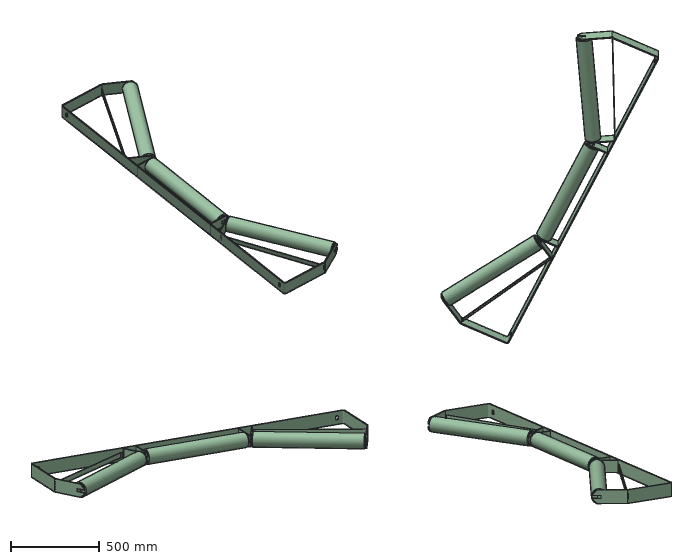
import cadquery as cq
import math


FRAME_LENGTH = 2000.0
STRIP_WIDTH = 80.0
PLATE = 7.0
HALF_LENGTH = FRAME_LENGTH / 2

ROLLER_DIAMETER = 90.0
ROLLER_LENGTH = 642.0
ROLLER_CHAMFER = 5.0
TILT = 30.0
MIDDLE_AXIS_Y = 100.0
OUTER_CENTRE_X = 635.0
OUTER_CENTRE_Y = 272.0

END_GAP = 2.0
AXLE_DEPTH = 20.0
AXLE_WIDTH = 15.0
SEAT_DISTANCE = ROLLER_LENGTH / 2 + END_GAP
AXLE_LENGTH = 2 * (SEAT_DISTANCE + PLATE)

COS_TILT = math.cos(math.radians(TILT))
SIN_TILT = math.sin(math.radians(TILT))
TAN_TILT = math.tan(math.radians(TILT))

ARM_TOP_Y = 468.0
CORNER_RADIUS = 15.0
TIP_CHAMFER = 22.0
MOUNT_HOLE_INSET = 48.0
MOUNT_HOLE_WIDTH = 15.0
MOUNT_HOLE_HEIGHT = 25.0
POST_INNER_X = HALF_LENGTH - PLATE

BRACKET_WIDTH = 72.0
BRACKET_TOP_Y = 130.0

STRUT_THICKNESS = 5.0
STRUT_WIDTH = 30.0
STRUT_FOOT_X = 420.0
STRUT_HEAD_Y = 295.0


def strip(points, width):
    """Extrude an XY outline to a strip centred on Z = 0."""
    return cq.Workplane("XY").workplane(offset=-width / 2).polyline(points).close().extrude(width)


def mirrored(body):
    return body.mirror("YZ")


def on_middle_axis(body):
    """Move a body from the X axis to the middle roller axis."""
    return body.translate((0, MIDDLE_AXIS_Y, 0))


def on_outer_axis(body):
    """Move a body from the X axis to the axis of the outer roller on the +X side."""
    return body.rotate((0, 0, 0), (0, 0, 1), TILT).translate((OUTER_CENTRE_X, OUTER_CENTRE_Y, 0))


def x_on_tilted_face(distance, y):
    """X at height y on the plane square to the outer axis, at a signed distance from the roller centre."""
    return OUTER_CENTRE_X + distance / COS_TILT - (y - OUTER_CENTRE_Y) * TAN_TILT


def make_axle():
    """Rectangular axle along the X axis."""
    return cq.Workplane("XY").box(AXLE_LENGTH, AXLE_DEPTH, AXLE_WIDTH)


def make_roller():
    """Chamfered roller along the X axis with its axle."""
    half, radius = ROLLER_LENGTH / 2, ROLLER_DIAMETER / 2
    profile = [
        (-half, 0),
        (-half, ROLLER_CHAMFER - radius),
        (ROLLER_CHAMFER - half, -radius),
        (half - ROLLER_CHAMFER, -radius),
        (half, ROLLER_CHAMFER - radius),
        (half, 0),
    ]
    drum = cq.Workplane("XY").polyline(profile).close().revolve(360, (0, 0, 0), (1, 0, 0))
    return drum.union(make_axle())


def axle_slots():
    """Cutter for the seats of an axle on the X axis, open towards +Y."""
    opening = cq.Workplane("XY").box(
        AXLE_LENGTH, ROLLER_DIAMETER, AXLE_WIDTH, centered=(True, False, True)
    )
    return make_axle().union(opening)


def tip_chamfers(tip_x):
    """Cutters for the two corners of the arm tip, lying along the arm on the +X side."""
    corner = STRIP_WIDTH / 2
    cutters = cq.Workplane("YZ", origin=(-PLATE, 0, 0))
    for side in (-1, 1):
        wedge = [
            (0, side * corner),
            (-TIP_CHAMFER, side * corner),
            (0, side * (corner - TIP_CHAMFER)),
        ]
        cutters = cutters.polyline(wedge).close()
    cutters = cutters.extrude(2 * PLATE)
    return cutters.rotate((0, 0, 0), (0, 0, 1), TILT).translate((tip_x, ARM_TOP_Y, 0))


def make_frame():
    """Base, two posts and two inward-leaning arms bent from one strip."""
    outer_distance = SEAT_DISTANCE + PLATE
    bend_y = OUTER_CENTRE_Y + (x_on_tilted_face(outer_distance, OUTER_CENTRE_Y) - HALF_LENGTH) / TAN_TILT
    inner_bend_y = bend_y - PLATE * math.tan(math.radians(TILT / 2))
    tip_x = x_on_tilted_face(outer_distance, ARM_TOP_Y)
    right_half = [
        (HALF_LENGTH, 0),
        (HALF_LENGTH, bend_y),
        (tip_x, ARM_TOP_Y),
        (tip_x - PLATE * COS_TILT, ARM_TOP_Y - PLATE * SIN_TILT),
        (POST_INNER_X, inner_bend_y),
        (POST_INNER_X, PLATE),
    ]
    left_half = [(-x, y) for x, y in reversed(right_half)]
    frame = strip(right_half + left_half, STRIP_WIDTH)

    corners = [(HALF_LENGTH, 0, CORNER_RADIUS), (POST_INNER_X, PLATE, CORNER_RADIUS - PLATE)]
    for x, y, radius in corners:
        for side in (-1, 1):
            edge = cq.selectors.NearestToPointSelector((side * x, y, 0))
            frame = frame.edges("|Z").edges(edge).fillet(radius)

    hole_x = HALF_LENGTH - MOUNT_HOLE_INSET
    mount_holes = (
        cq.Workplane("XZ")
        .pushPoints([(-hole_x, 0), (hole_x, 0)])
        .slot2D(MOUNT_HOLE_HEIGHT, MOUNT_HOLE_WIDTH, 90)
        .extrude(-PLATE)
    )
    frame = frame.cut(mount_holes)

    arm_cutters = on_outer_axis(axle_slots()).union(tip_chamfers(tip_x))
    return frame.cut(arm_cutters).cut(mirrored(arm_cutters))


def make_bracket():
    """Bent plate on the base with an upright for the middle roller and a leaning leg for the outer one."""
    near_x = SEAT_DISTANCE
    far_x = SEAT_DISTANCE + PLATE
    under_top_y = BRACKET_TOP_Y - PLATE
    leg_near = -SEAT_DISTANCE
    leg_far = -SEAT_DISTANCE - PLATE
    outline = [
        (near_x, PLATE),
        (near_x, BRACKET_TOP_Y),
        (x_on_tilted_face(leg_near, BRACKET_TOP_Y), BRACKET_TOP_Y),
        (x_on_tilted_face(leg_near, PLATE), PLATE),
        (x_on_tilted_face(leg_far, PLATE), PLATE),
        (x_on_tilted_face(leg_far, under_top_y), under_top_y),
        (far_x, under_top_y),
        (far_x, PLATE),
    ]
    bracket = strip(outline, BRACKET_WIDTH)
    return bracket.cut(on_middle_axis(axle_slots())).cut(on_outer_axis(axle_slots()))


def make_strut():
    """Flat diagonal brace from the base to the post."""
    slope = math.atan2(STRUT_HEAD_Y - PLATE, POST_INNER_X - STRUT_FOOT_X)
    foot_length = STRUT_THICKNESS / math.sin(slope)
    head_length = STRUT_THICKNESS / math.cos(slope)
    outline = [
        (STRUT_FOOT_X, PLATE),
        (POST_INNER_X, STRUT_HEAD_Y),
        (POST_INNER_X, STRUT_HEAD_Y - head_length),
        (STRUT_FOOT_X + foot_length, PLATE),
    ]
    return strip(outline, STRUT_WIDTH)


frame = make_frame()
middle_roller = on_middle_axis(make_roller())
bodies = [frame, middle_roller]
for body in (on_outer_axis(make_roller()), make_bracket(), make_strut()):
    bodies += [body, mirrored(body)]

result = cq.Compound.makeCompound([body.solids().val() for body in bodies])